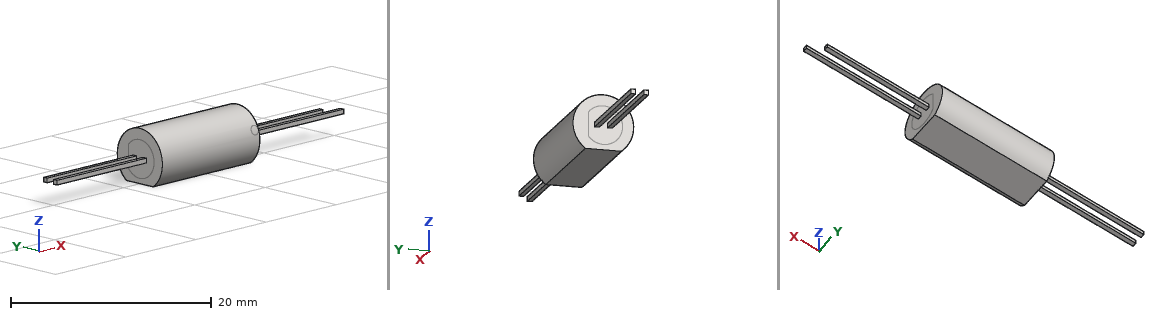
import cadquery as cq
import math

total_length = 40.9
body_start = 12.75
body_length = 13.9
body_radius = 3.17
overall_height = 5.72

core_radius = 2.0
core_flat_offset = 1.55

lead_side = 0.5
lead_pitch = 1.35
short_lead_setback = 1.6

dot_diameter = 1.0
dot_end_gap = 0.05
dot_height = 1.1

body_end = body_start + body_length
body_flat_depth = overall_height - body_radius
dot_angle = math.degrees(math.asin(dot_height / body_radius))


def rod_along_x(radius):
    """Round rod over the length of the body."""
    return cq.Workplane("YZ").workplane(offset=body_start).circle(radius).extrude(body_length)


def make_body():
    """Round body with a flat along its underside."""
    keep = cq.Workplane("XY").box(
        body_length, 2 * body_radius, overall_height, centered=(False, True, False)
    )
    return rod_along_x(body_radius).intersect(keep.translate((body_start, 0, -body_flat_depth)))


def make_core():
    """D-shaped core, flush with both body ends, with its flat facing +Y."""
    keep = cq.Workplane("XY").box(
        body_length, core_radius + core_flat_offset, 2 * core_radius, centered=(False, False, True)
    )
    return rod_along_x(core_radius).intersect(keep.translate((body_start, -core_radius, 0)))


def make_dot(body):
    """Round marker flush with the body surface, pointing radially toward -Y and slightly up."""
    dot_x = body_end - dot_diameter / 2 - dot_end_gap
    plug = cq.Workplane("XZ").center(dot_x, 0).circle(dot_diameter / 2).extrude(2 * body_radius)
    return plug.rotate((0, 0, 0), (1, 0, 0), -dot_angle).intersect(body)


def make_lead(y, length):
    """Square lead running through the body."""
    lead = cq.Workplane("XY").box(length, lead_side, lead_side, centered=(False, True, True))
    return lead.translate((0, y, 0))


body = make_body()
long_lead = make_lead(-lead_pitch / 2, total_length)
short_lead = make_lead(lead_pitch / 2, total_length - short_lead_setback)

result = body
for piece in (make_core(), make_dot(body), long_lead, short_lead):
    result = result.union(piece, clean=False)